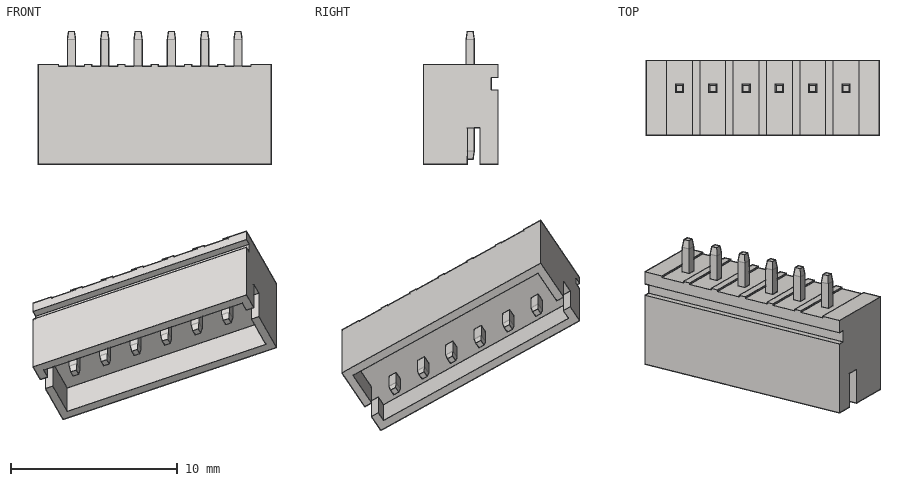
import cadquery as cq

body_length = 14.0
body_width = 4.5
body_height = 6.0
wall = 0.49

pin_count = 6
pin_pitch = body_length / (pin_count + 1)
pin_side = 0.5
pin_tip_side = 0.36
pin_taper_length = 0.49
pin_rise = 1.99
pin_bottom_gap = 0.31
pin_from_back = 1.68

recess_width = 1.55
recess_depth = 0.1

slot_height = 2.2
slot_width = 0.75
slot_from_back = 1.09

groove_from_top = 0.8
groove_height = 0.73
groove_depth = 0.4

back_y = body_width / 2
pin_y = back_y - pin_from_back
pin_positions = [(i - (pin_count - 1) / 2) * pin_pitch for i in range(pin_count)]


def block(x_size, y_size, z_size, x_mid, y_mid, z_low):
    """Box centred on (x_mid, y_mid) and standing on z_low."""
    return (
        cq.Workplane("XY")
        .box(x_size, y_size, z_size, centered=(True, True, False))
        .translate((x_mid, y_mid, z_low))
    )


def tapered_end(x, z_base, direction):
    """Tapered pin end, narrowing from z_base upward (1) or downward (-1)."""
    return (
        cq.Workplane("XY", origin=(x, pin_y, z_base))
        .rect(pin_side, pin_side)
        .workplane(offset=direction * pin_taper_length)
        .rect(pin_tip_side, pin_tip_side)
        .loft()
    )


def pin(x):
    """Square pin through the housing, tapered at both ends."""
    shaft_low = pin_bottom_gap + pin_taper_length
    shaft_high = body_height + pin_rise - pin_taper_length
    shaft = block(pin_side, pin_side, shaft_high - shaft_low, x, pin_y, shaft_low)
    upper_end = tapered_end(x, shaft_high, 1)
    lower_end = tapered_end(x, shaft_low, -1)
    return shaft.union(upper_end).union(lower_end)


def housing():
    """Block with its cavity, end slots, back groove and top recesses."""
    body = block(body_length, body_width, body_height, 0, 0, 0)

    cavity = block(body_length - 2 * wall, body_width - 2 * wall, slot_height, 0, 0, 0)
    slot_y = back_y - slot_from_back - slot_width / 2
    end_slots = block(body_length, slot_width, slot_height, 0, slot_y, 0)
    body = body.cut(cavity).cut(end_slots)

    groove_y = back_y - groove_depth / 2
    groove_low = body_height - groove_from_top - groove_height
    body = body.cut(block(body_length, groove_depth, groove_height, 0, groove_y, groove_low))

    recess_floor = body_height - recess_depth
    for x in pin_positions:
        body = body.cut(block(recess_width, body_width, recess_depth, x, 0, recess_floor))
    return body


result = housing()
for x in pin_positions:
    result = result.union(pin(x))